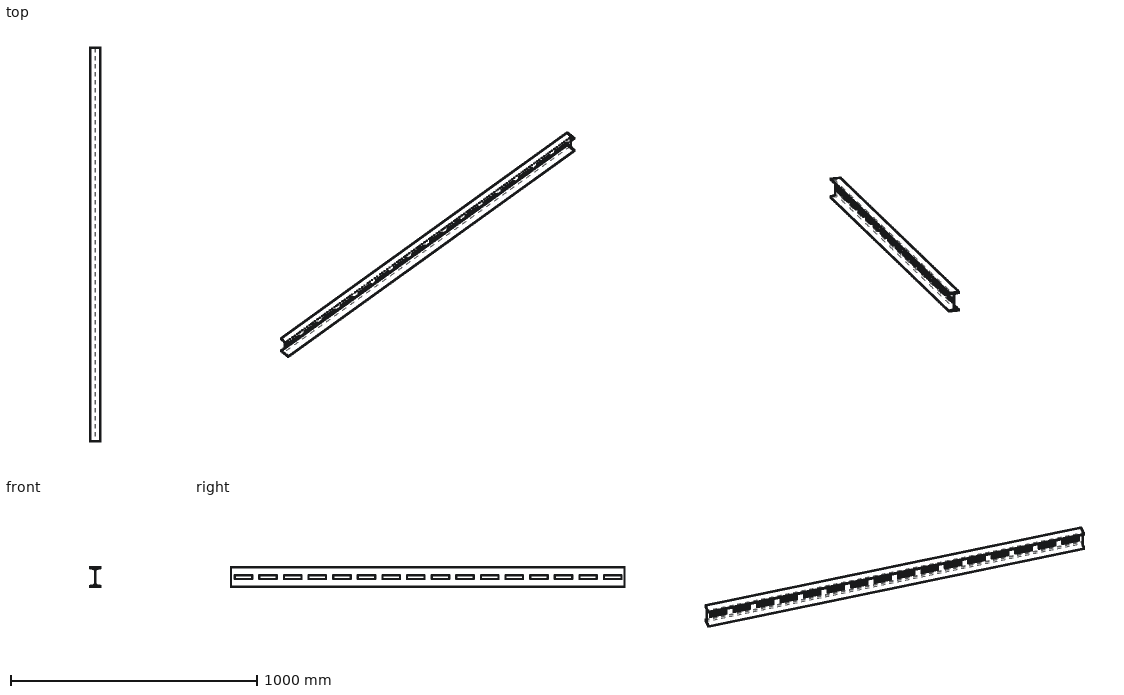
import cadquery as cq

length = 1600.0
flange_width = 42.0
height = 80.0

web_thickness = 3.9
flange_thickness = 5.9
flange_slope = 0.14
root_radius = 3.9
tip_radius = 2.3

slot_pitch = 100.0
slot_length = 70.0
slot_height = 14.0
slot_row_shift = 1.5
slot_count = round(length / slot_pitch)

selection_margin = 0.1

half_width = flange_width / 2
half_height = height / 2
half_web = web_thickness / 2


def inner_face_height(x):
    """Height of the upper flange's inner face at distance x from the web centre."""
    return half_height - flange_thickness - flange_slope * (flange_width / 4 - x)


def beam_blank():
    """Tapered I section, extruded along Y, with rounded roots and flange tips."""
    tip_height = inner_face_height(half_width)
    root_height = inner_face_height(half_web)
    section = (
        cq.Workplane("XZ")
        .moveTo(-half_width, half_height)
        .lineTo(half_width, half_height)
        .lineTo(half_width, tip_height)
        .lineTo(half_web, root_height)
        .lineTo(half_web, -root_height)
        .lineTo(half_width, -tip_height)
        .lineTo(half_width, -half_height)
        .lineTo(-half_width, -half_height)
        .lineTo(-half_width, -tip_height)
        .lineTo(-half_web, -root_height)
        .lineTo(-half_web, root_height)
        .lineTo(-half_width, tip_height)
        .close()
    )
    blank = section.extrude(length / 2, both=True)
    blank = round_edges(blank, half_web, root_height, root_radius)
    return round_edges(blank, half_width, tip_height, tip_radius)


def round_edges(body, x, z, radius):
    """Fillet the four lengthwise edges that mirror the one at (x, z)."""
    edges = []
    for side in (-1, 1):
        for level in (-1, 1):
            box = cq.selectors.BoxSelector(
                (side * x - selection_margin, -length, level * z - selection_margin),
                (side * x + selection_margin, length, level * z + selection_margin),
            )
            edges += body.edges("|Y").edges(box).vals()
    return body.newObject(edges).fillet(radius)


def web_slots():
    """Evenly spaced rectangular slots, cut right through the web."""
    return (
        cq.Workplane("YZ")
        .center(slot_row_shift, 0)
        .rarray(slot_pitch, 1, slot_count, 1)
        .rect(slot_length, slot_height)
        .extrude(web_thickness, both=True)
    )


result = beam_blank().cut(web_slots())